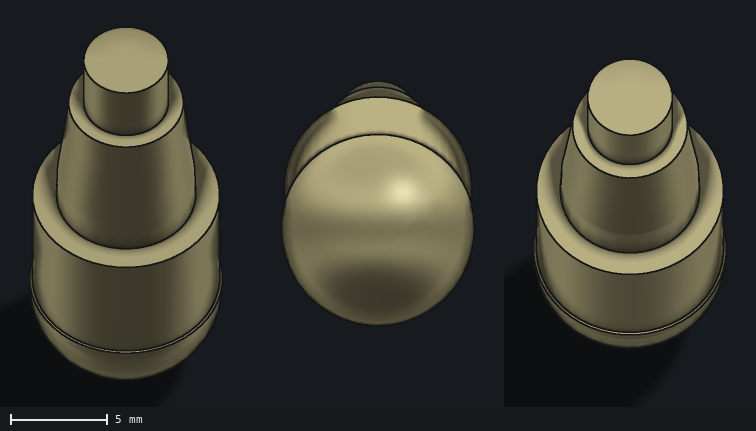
import cadquery as cq

total_height = 23.6
dome_radius = 5.0
rim_height = 0.5
barrel_diameter = 9.7
barrel_height = 6.95
collar_bottom_diameter = 7.22
collar_top_diameter = 7.1
collar_height = 2.05
taper_height = 5.6
taper_top_diameter = 5.95
cable_diameter = 4.4

dome_bottom = -total_height / 2
rim_bottom = dome_bottom + dome_radius
rim_top = rim_bottom + rim_height
barrel_top = rim_top + barrel_height
collar_top = barrel_top + collar_height
taper_top = collar_top + taper_height
cable_top = dome_bottom + total_height


def make_cap():
    """Hemispherical cap with a short cylindrical rim."""
    arc_offset = dome_radius * 0.5**0.5
    return (
        cq.Workplane("XZ")
        .moveTo(0, dome_bottom)
        .threePointArc((arc_offset, rim_bottom - arc_offset), (dome_radius, rim_bottom))
        .lineTo(dome_radius, rim_top)
        .lineTo(0, rim_top)
        .close()
        .revolve(360, (0, 0, 0), (0, 1, 0))
    )


def make_holder():
    """Stepped barrel, slightly tapered collar, tapered neck and cable stub resting on the cap."""
    return (
        cq.Workplane("XZ")
        .moveTo(0, rim_top)
        .lineTo(barrel_diameter / 2, rim_top)
        .lineTo(barrel_diameter / 2, barrel_top)
        .lineTo(collar_bottom_diameter / 2, barrel_top)
        .lineTo(collar_top_diameter / 2, collar_top)
        .lineTo(taper_top_diameter / 2, taper_top)
        .lineTo(cable_diameter / 2, taper_top)
        .lineTo(cable_diameter / 2, cable_top)
        .lineTo(0, cable_top)
        .close()
        .revolve(360, (0, 0, 0), (0, 1, 0))
    )


cap = make_cap()
holder = make_holder()
result = cq.Compound.makeCompound([cap.val(), holder.val()])